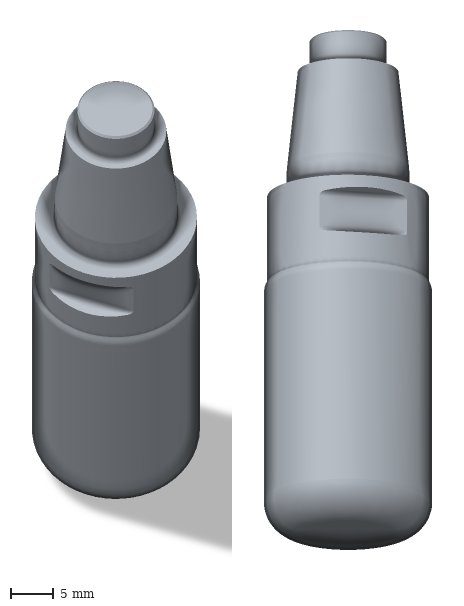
import cadquery as cq
import math

total_height = 61.2
sleeve_top = 31.1
shoulder_height = 41.75
neck_bend_height = 45.2
neck_top = 57.2

sleeve_radius = 20.0 / 2
sleeve_bottom_fillet = 4.0
sleeve_rim_radius = 1.85

collar_radius = 19.3 / 2
neck_base_radius = 7.35
neck_bend_radius = 7.3
neck_top_radius = 6.0
neck_base_fillet = 0.35
boss_radius = 9.2 / 2
boss_fillet = 0.5
boss_chamfer = 0.25

flat_distance = 8.0
flat_center_height = 37.45
flat_mouth_height = 5.6
flat_wall_angle = 15.0
flat_corner_fillet = 0.55


def revolve_profile(profile):
    """Turn a closed radius-height profile around the Z axis."""
    return profile.close().revolve(360, (0, 0, 0), (0, 1, 0))


def arc_middle(center_x, center_y, radius, angle):
    """Point on a circle at an angle given in degrees."""
    turn = math.radians(angle)
    return (center_x + radius * math.cos(turn), center_y + radius * math.sin(turn))


def make_sleeve():
    """Solid sleeve with a rounded bottom and a rim rounded in to the collar."""
    rim_center_radius = sleeve_radius - sleeve_rim_radius
    rim_angle = math.acos((collar_radius - rim_center_radius) / sleeve_rim_radius)
    rim_start = sleeve_top - sleeve_rim_radius * math.sin(rim_angle)
    rim_middle = arc_middle(rim_center_radius, rim_start, sleeve_rim_radius, math.degrees(rim_angle) / 2)
    bottom_center_radius = sleeve_radius - sleeve_bottom_fillet
    bottom_middle = arc_middle(bottom_center_radius, sleeve_bottom_fillet, sleeve_bottom_fillet, -45)
    return revolve_profile(
        cq.Workplane("XZ")
        .lineTo(bottom_center_radius, 0)
        .threePointArc(bottom_middle, (sleeve_radius, sleeve_bottom_fillet))
        .lineTo(sleeve_radius, rim_start)
        .threePointArc(rim_middle, (collar_radius, sleeve_top))
        .lineTo(0, sleeve_top)
    )


def make_head_blank():
    """Collar, tapered neck and boss with concave fillets at both steps."""
    base_center = (neck_base_radius + neck_base_fillet, shoulder_height + neck_base_fillet)
    boss_center = (boss_radius + boss_fillet, neck_top + boss_fillet)
    return revolve_profile(
        cq.Workplane("XZ")
        .moveTo(0, sleeve_top)
        .lineTo(collar_radius, sleeve_top)
        .lineTo(collar_radius, shoulder_height)
        .lineTo(base_center[0], shoulder_height)
        .threePointArc(arc_middle(*base_center, neck_base_fillet, 225), (neck_base_radius, base_center[1]))
        .lineTo(neck_bend_radius, neck_bend_height)
        .lineTo(neck_top_radius, neck_top)
        .lineTo(boss_center[0], neck_top)
        .threePointArc(arc_middle(*boss_center, boss_fillet, 225), (boss_radius, boss_center[1]))
        .lineTo(boss_radius, total_height - boss_chamfer)
        .lineTo(boss_radius - boss_chamfer, total_height)
        .lineTo(0, total_height)
    )


def make_flat_cutter(side):
    """Slot across the collar with sloping walls, on the side of the given Y sign."""
    half_mouth = flat_mouth_height / 2
    wall_run = (collar_radius - flat_distance) * math.tan(math.radians(flat_wall_angle))
    half_floor = half_mouth - wall_run
    floor_y = side * flat_distance
    mouth_y = side * collar_radius
    return (
        cq.Workplane("YZ", origin=(0, 0, flat_center_height))
        .moveTo(floor_y, -half_floor)
        .lineTo(mouth_y, -half_mouth)
        .lineTo(mouth_y, half_mouth)
        .lineTo(floor_y, half_floor)
        .close()
        .extrude(collar_radius, both=True)
        .edges(cq.selectors.NearestToPointSelector((0, floor_y, flat_center_height + half_floor)))
        .fillet(flat_corner_fillet)
        .edges(cq.selectors.NearestToPointSelector((0, floor_y, flat_center_height - half_floor)))
        .fillet(flat_corner_fillet)
    )


def make_head():
    """Head with a wrench flat on each side of the collar."""
    head = make_head_blank()
    for side in (-1, 1):
        head = head.cut(make_flat_cutter(side))
    return head


sleeve = make_sleeve()
head = make_head()

result = cq.Compound.makeCompound([sleeve.val(), head.val()])